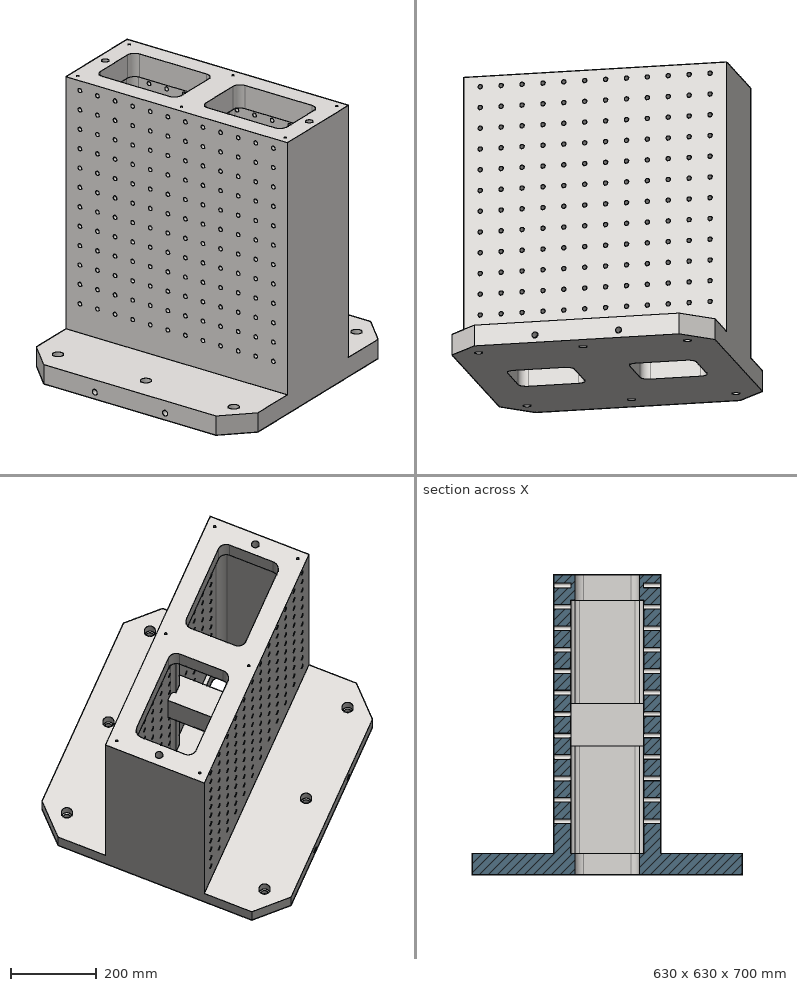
import cadquery as cq
import math

base_size = 630
base_thickness = 50
base_corner_cut = 70

column_depth = 250
total_height = 700
column_wall = 40
cavity_radius = 20
rim_thickness = 60
cavity_depth = column_depth - 2 * column_wall

opening_depth = 150
opening_radius = 20
top_opening_inner_x = 35
top_opening_length = 230
floor_opening_inner_x = 66
floor_opening_length = 160

web_thickness = 20
web_corner_radius = 10
web_window_depth = cavity_depth - 2 * web_corner_radius
bridge_half_length = top_opening_inner_x
bridge_bottom_z = 300
bridge_height = 100

grid_count = 12
grid_pitch = 50
grid_lowest_z = 125
grid_hole_diameter = 10.2
grid_hole_depth = column_wall

mount_pitch = 250
mount_hole_diameter = 18
mount_bore_diameter = 26
mount_bore_depth = 30

drill_tip_angle = 118
lifting_hole_x = 290
lifting_hole_diameter = 17.5
lifting_hole_depth = 50
cover_hole_x = 295
cover_hole_y = 105
cover_hole_diameter = 5
cover_hole_depth = 15
side_hole_x = 100
side_hole_z = 18
side_hole_diameter = 14
side_hole_depth = 35

half_base = base_size / 2
half_column_depth = column_depth / 2
cavity_end_x = half_base - column_wall
cavity_height = total_height - rim_thickness - base_thickness


def block(x_min, x_max, depth, z_min, height):
    """Box spanning x_min to x_max, centred on Y = 0."""
    return cq.Workplane("XY").box(
        x_max - x_min, depth, height, centered=(False, True, False)
    ).translate((x_min, 0, z_min))


def drilled_hole(diameter, depth, point, direction):
    """Drill shape: a cylinder ending in a cone, starting at point along direction."""
    radius = diameter / 2
    tip = radius / math.tan(math.radians(drill_tip_angle / 2))
    profile = cq.Workplane("XZ").polyline(
        [(0, 0), (radius, 0), (radius, depth), (0, depth + tip)]
    ).close()
    drill = profile.revolve(axisStart=(0, 0), axisEnd=(0, 1))
    return drill.val().moved(cq.Plane(point, (1, 0, 0), direction).location)


def make_body():
    base = cq.Workplane("XY").box(
        base_size, base_size, base_thickness, centered=(True, True, False)
    ).edges("|Z").chamfer(base_corner_cut)
    column = block(-half_base, half_base, column_depth, 0, total_height)
    return base.union(column)


def make_cavity_half():
    """Hollow on the +X side of the dividing web."""
    half = block(web_thickness / 2, cavity_end_x, cavity_depth, base_thickness, cavity_height)
    half = half.edges("|Z and >X").fillet(cavity_radius)
    return half.edges("|Z and <X").fillet(web_corner_radius)


def make_hollow():
    half = make_cavity_half()
    half_web = web_thickness / 2
    window = block(-half_web, half_web, web_window_depth, base_thickness, cavity_height)
    bridge = block(-bridge_half_length, bridge_half_length, cavity_depth, bridge_bottom_z, bridge_height)
    return half.union(half.mirror("YZ")).union(window).cut(bridge)


def make_opening(inner_x, length, z_min, height):
    """Pair of rounded vertical openings, one on each side of X = 0."""
    opening = block(inner_x, inner_x + length, opening_depth, z_min, height)
    opening = opening.edges("|Z").fillet(opening_radius)
    return opening.union(opening.mirror("YZ"))


def make_grid_holes():
    first_x = -grid_pitch * (grid_count - 1) / 2
    drills = []
    for column in range(grid_count):
        for row in range(grid_count):
            x = first_x + column * grid_pitch
            z = grid_lowest_z + row * grid_pitch
            for side in (-1, 1):
                start = cq.Vector(x, side * half_column_depth, z)
                inward = cq.Vector(0, -side, 0)
                drills.append(cq.Solid.makeCylinder(
                    grid_hole_diameter / 2, grid_hole_depth, start, inward))
    return cq.Compound.makeCompound(drills)


def make_mount_holes():
    points = [(x, y) for x in (-mount_pitch, 0, mount_pitch) for y in (-mount_pitch, mount_pitch)]
    shanks = cq.Workplane("XY").pushPoints(points).circle(mount_hole_diameter / 2)
    bores = cq.Workplane("XY", origin=(0, 0, base_thickness)).pushPoints(points)
    bores = bores.circle(mount_bore_diameter / 2).extrude(-mount_bore_depth)
    return shanks.extrude(base_thickness).union(bores)


def make_drilled_holes():
    down = (0, 0, -1)
    drills = []
    for x in (-lifting_hole_x, lifting_hole_x):
        point = (x, 0, total_height)
        drills.append(drilled_hole(lifting_hole_diameter, lifting_hole_depth, point, down))
    for x in (-cover_hole_x, 0, cover_hole_x):
        for y in (-cover_hole_y, cover_hole_y):
            point = (x, y, total_height)
            drills.append(drilled_hole(cover_hole_diameter, cover_hole_depth, point, down))
    for x in (-side_hole_x, side_hole_x):
        for side in (-1, 1):
            point = (x, side * half_base, side_hole_z)
            drills.append(drilled_hole(side_hole_diameter, side_hole_depth, point, (0, -side, 0)))
    return cq.Compound.makeCompound(drills)


result = make_body().cut(make_hollow())
result = result.cut(make_opening(
    top_opening_inner_x, top_opening_length, total_height - rim_thickness, rim_thickness))
result = result.cut(make_opening(
    floor_opening_inner_x, floor_opening_length, 0, base_thickness))
result = result.cut(cq.Workplane(make_grid_holes()))
result = result.cut(make_mount_holes())
result = result.cut(cq.Workplane(make_drilled_holes()))